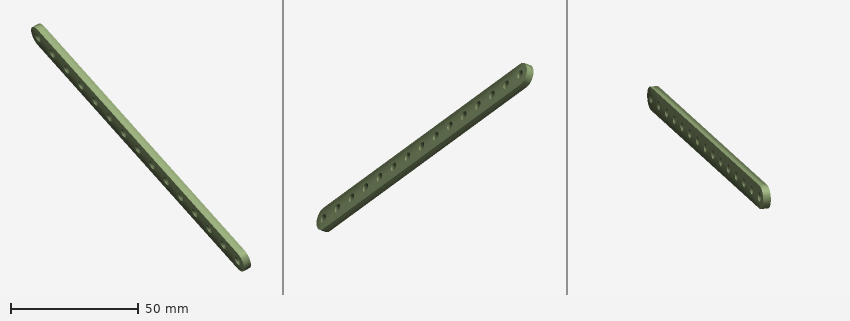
import cadquery as cq

bar_width = 9.525
bar_thickness = 3.175
hole_count = 15
hole_pitch = 9.779
hole_diameter = 3.556

bar_length = (hole_count - 1) * hole_pitch + bar_width


def make_bar():
    """Round-ended bar lying along X, centred on the origin, thickness along Y."""
    return (
        cq.Workplane("XZ")
        .slot2D(bar_length, bar_width)
        .extrude(bar_thickness / 2, both=True)
    )


def make_hole_cutters():
    """Row of cylinders along the bar's centreline, one per hole."""
    return (
        cq.Workplane("XZ")
        .rarray(hole_pitch, bar_width, hole_count, 1)
        .circle(hole_diameter / 2)
        .extrude(bar_thickness, both=True)
    )


result = make_bar().cut(make_hole_cutters())